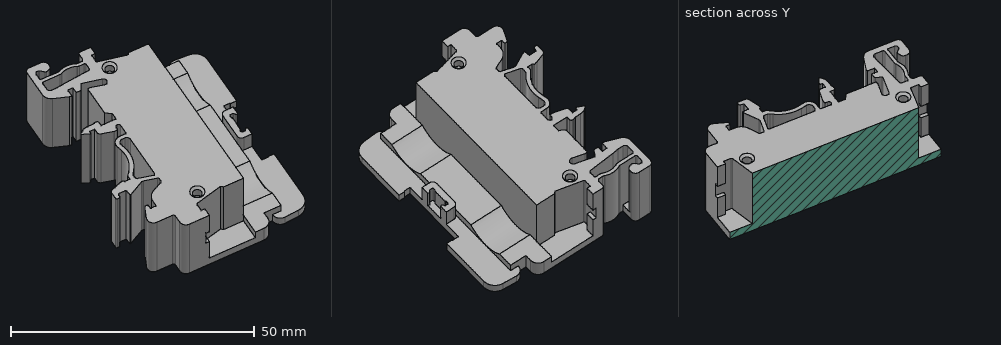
import cadquery as cq
import math


total_height = 16.48
base_height = 2.15
step_height = 4.0
clip_height = 6.35

body_half_width = 25.0
foot_left_x = -26.5
foot_bottom_y = -25.5
body_bottom_y = -15.35
rail_top_y = -19.15
rail_bottom_y = -20.5
left_ledge_y = -13.8
spring_left_x = -22.65
spring_right_x = -21.85
spring_bulge = 0.97
spring_bulge_radius = 4.2
spring_bulge_fillet = 1.0
spring_bulge_ends_y = (-15.4, -19.55)
foot_pocket_bottom_y = -24.0
foot_floor_left_x = -25.0
foot_floor_right_x = -19.0
foot_floor_overlap = 0.5

pocket_inner_x = 20.0
pocket_end_y = -10.8
pocket_notch_y = -11.65
pocket_lip_x = 23.05
lip_slot_bottom_z = 7.65
lip_slot_top_z = 10.95
cut_clearance = 1.0

hole_x = 18.45
hole_y = -10.0
hole_diameter = 2.0
countersink_diameter = 3.1
countersink_depth = 0.55
hole_depth = 2.5

shelf_end_y = 14.0
ledge_half_width = 21.5
ledge_end_y = 8.0
shoulder_end_y = 4.0
shoulder_radius = 2.0
hook_end_y = 6.0
shelf_hook_half_width = 23.45
shelf_corner_half_width = 22.9
shelf_corner_radius = 3.0
shelf_hook_radius = 1.8
notch_half_width = 8.0
notch_relief = 0.15
notch_relief_y = 12.5
notch_floor_y = 11.0

trough_x = 13.08
trough_width = 9.5
trough_depth = 1.7

clip_half_width = 4.0
clip_corner_radius = 1.0


def rounded_outline(corners):
    """Closed wire through (x, y, radius) corners; a zero radius leaves the corner sharp."""
    path = None
    for index, (x, y, radius) in enumerate(corners):
        corner = cq.Vector(x, y)
        before = cq.Vector(*corners[index - 1][:2]) - corner
        after = cq.Vector(*corners[(index + 1) % len(corners)][:2]) - corner
        if radius == 0:
            path = path.lineTo(x, y) if path else cq.Workplane("XY").moveTo(x, y)
            continue
        half_angle = before.getAngle(after) / 2
        setback = radius / math.tan(half_angle)
        arc_start = corner + before.normalized() * setback
        arc_end = corner + after.normalized() * setback
        bisector = (before.normalized() + after.normalized()).normalized()
        arc_middle = corner + bisector * (radius / math.sin(half_angle) - radius)
        if path:
            path = path.lineTo(arc_start.x, arc_start.y)
        else:
            path = cq.Workplane("XY").moveTo(arc_start.x, arc_start.y)
        path = path.threePointArc((arc_middle.x, arc_middle.y), (arc_end.x, arc_end.y))
    return path.close()


def prism(corners, bottom, top):
    return rounded_outline(corners).extrude(top - bottom).translate((0, 0, bottom))


def both_sides(solid):
    return solid.union(solid.mirror("YZ"))


def symmetric(right_half):
    """Mirror right-hand corners, listed from the -Y end, into a full outline."""
    return right_half + [(-x, y, radius) for x, y, radius in reversed(right_half)]


def spring_bow(face_x):
    """Corners of the outward bow in one face of the thin left-hand spring, from its upper end."""
    upper_y, lower_y = spring_bulge_ends_y
    return [
        (face_x, upper_y, spring_bulge_fillet),
        (face_x - spring_bulge, (upper_y + lower_y) / 2, spring_bulge_radius),
        (face_x, lower_y, spring_bulge_fillet),
    ]


def body_outline():
    left_spring_foot = [
        (-body_half_width, left_ledge_y, 0.45),
        (spring_left_x, left_ledge_y, 0.5),
        *spring_bow(spring_left_x),
        (spring_left_x, foot_pocket_bottom_y, 0.2),
        (-24.85, foot_pocket_bottom_y, 0.5),
        (-24.85, -23.1, 0.3),
        (-23.8, -22.0, 0.35),
        (-24.25, rail_bottom_y, 0.9),
        (foot_left_x, rail_bottom_y, 1.25),
        (foot_left_x, foot_bottom_y, 1.0),
        (-17.65, foot_bottom_y, 2.0),
        (-15.85, -20.85, 0),
        (-15.85, -20.35, 0),
        (-17.55, -20.35, 0),
        (-17.55, rail_top_y, 0),
        (-16.15, rail_top_y, 0),
        (-16.15, -18.0, 0.35),
        (-17.7, -17.2, 0.15),
    ]
    slanted_slot = [
        (-16.45, -12.15, 0.78),
        (-14.8, -12.15, 0.78),
        (-15.85, -15.9, 0),
        (-15.85, -16.65, 0.25),
        (-8.65, -16.65, 0),
        (-7.8, body_bottom_y, 0),
    ]
    middle_latch = [
        (-6.2, body_bottom_y, 0),
        (-6.2, -18.85, 0),
        (-7.5, -18.85, 0.45),
        (-7.5, -19.7, 0),
        (-7.3, -20.2, 0),
        (-7.3, -21.6, 0),
        (-7.1, -22.6, 0),
        (-6.25, -23.7, 0.15),
        (-5.4, -21.95, 0.18),
        (-5.5, -21.65, 0.1),
        (-6.0, -21.65, 0),
        (-6.0, rail_bottom_y, 0),
        (-4.45, rail_bottom_y, 0.75),
        (-3.55, -17.25, 0.3),
        (-3.55, -16.4, 0.2),
        (-4.75, -16.4, 0.5),
        (-4.75, body_bottom_y, 0.5),
    ]
    spring_arm = [
        (-1.9, body_bottom_y, 0.2),
        (-1.9, -19.1, 1.75),
        (4.4, -17.75, 6.3),
        (7.95, rail_bottom_y, 0),
        (8.85, rail_bottom_y, 0),
        (8.85, -21.65, 0),
        (8.5, -21.95, 0.15),
        (8.65, -22.7, 0),
        (9.6, foot_bottom_y, 0.75),
        (12.1, foot_bottom_y, 0.3),
        (12.05, -24.55, 0.35),
        (11.0, -24.4, 0),
        (11.0, -22.6, 0),
        (12.4, -22.45, 0),
        (12.4, -22.2, 0),
        (10.6, -18.7, 0.2),
        (10.6, -18.25, 0),
    ]
    right_foot = [
        (11.45, -15.15, 0.35),
        (12.6, -15.15, 0.3),
        (14.45, rail_top_y, 2.75),
        (17.5, rail_top_y, 0),
        (17.5, rail_bottom_y, 0),
        (16.45, rail_bottom_y, 0),
        (16.45, -21.25, 0.2),
        (21.3, -23.3, 1.45),
        (21.3, -17.0, 0.45),
        (body_half_width, -17.0, 1.5),
    ]
    back_wall = [(body_half_width, 0, 0), (-body_half_width, 0, 0)]
    return left_spring_foot + slanted_slot + middle_latch + spring_arm + right_foot + back_wall


def left_spring_opening():
    return [
        (spring_right_x, left_ledge_y, 0.3),
        (-19.95, left_ledge_y, 0.45),
        (-19.35, rail_bottom_y, 0),
        (-19.15, -21.95, 0),
        (-19.15, foot_pocket_bottom_y, 0.65),
        (spring_right_x, foot_pocket_bottom_y, 0.35),
        *reversed(spring_bow(spring_right_x)),
    ]


def spring_arm_opening():
    return [
        (-1.0, body_bottom_y, 0.85),
        (10.45, body_bottom_y, 0.35),
        (9.35, -19.35, 0.45),
        (8.05, -19.35, 0.75),
        (4.65, -16.7, 7.25),
        (-1.0, -17.9, 0.9),
    ]


def corner_pocket():
    """Right-hand pocket in the back corner, undercut behind a slotted lip."""
    outside_x = body_half_width + cut_clearance
    outside_y = cut_clearance
    pocket = prism(
        [
            (pocket_inner_x, outside_y, 0),
            (pocket_inner_x, -4.65, 0),
            (19.55, -5.15, 0),
            (21.1, pocket_notch_y, 0.25),
            (pocket_lip_x, pocket_notch_y, 0),
            (pocket_lip_x, pocket_end_y, 0),
            (outside_x, pocket_end_y, 0),
            (outside_x, outside_y, 0),
        ],
        base_height,
        total_height,
    )
    lip_slot = prism(
        [
            (pocket_lip_x, pocket_notch_y, 0),
            (outside_x, pocket_notch_y, 0),
            (outside_x, pocket_end_y, 0),
            (pocket_lip_x, pocket_end_y, 0),
        ],
        lip_slot_bottom_z,
        lip_slot_top_z,
    )
    return pocket.union(lip_slot)


def countersunk_hole():
    profile = [
        (0, total_height),
        (countersink_diameter / 2, total_height),
        (hole_diameter / 2, total_height - countersink_depth),
        (hole_diameter / 2, total_height - hole_depth),
        (0, total_height - hole_depth),
    ]
    hole = cq.Workplane("XZ").polyline(profile).close().revolve(360, (0, 0), (0, 1))
    return hole.translate((hole_x, hole_y, 0))


def make_body():
    body = prism(body_outline(), 0, total_height)
    for opening in (left_spring_opening(), spring_arm_opening()):
        body = body.cut(prism(opening, 0, total_height))
    foot_floor_bottom_y = foot_pocket_bottom_y - foot_floor_overlap
    foot_floor_corners = [
        (foot_floor_left_x, foot_floor_bottom_y, 0),
        (foot_floor_right_x, foot_floor_bottom_y, 0),
        (foot_floor_right_x, rail_bottom_y, 0),
        (foot_floor_left_x, rail_bottom_y, 0),
    ]
    body = body.union(prism(foot_floor_corners, 0, base_height))
    return body.cut(both_sides(corner_pocket())).cut(both_sides(countersunk_hole()))


def make_ledge():
    ledge = prism(
        symmetric([
            (body_half_width, 0, 0),
            (body_half_width, shoulder_end_y, shoulder_radius),
            (ledge_half_width, shoulder_end_y, 0),
            (ledge_half_width, ledge_end_y, 0),
        ]),
        0,
        step_height,
    )
    half_width = trough_width / 2
    trough_radius = (half_width**2 + trough_depth**2) / (2 * trough_depth)
    trough = (
        cq.Workplane("XZ")
        .center(trough_x, step_height - trough_depth + trough_radius)
        .circle(trough_radius)
        .extrude(-ledge_end_y)
    )
    return ledge.cut(both_sides(trough))


def make_shelf():
    relief_half_width = notch_half_width - notch_relief
    return prism(
        symmetric([
            (ledge_half_width, hook_end_y, 0),
            (shelf_hook_half_width, hook_end_y, shelf_hook_radius),
            (shelf_corner_half_width, shelf_end_y, shelf_corner_radius),
            (relief_half_width, shelf_end_y, 0.1),
            (relief_half_width, notch_relief_y, 0),
            (notch_half_width, notch_relief_y, 0),
            (notch_half_width, notch_floor_y, 0),
        ]),
        0,
        base_height,
    )


def make_clip():
    clip = prism(
        symmetric([
            (clip_half_width, ledge_end_y, clip_corner_radius),
            (clip_half_width, notch_floor_y, 0),
        ]),
        base_height,
        clip_height,
    )
    slot = prism(
        symmetric([
            (1.7, 9.5, 0),
            (1.8, 9.3, 0),
            (2.55, 9.3, 0.25),
            (2.55, 10.15, 0.1),
            (1.95, 10.6, 0.1),
            (2.15, notch_floor_y, 0),
        ]),
        base_height,
        clip_height,
    )
    return clip.cut(slot)


result = make_body().union(make_ledge()).union(make_shelf()).union(make_clip())